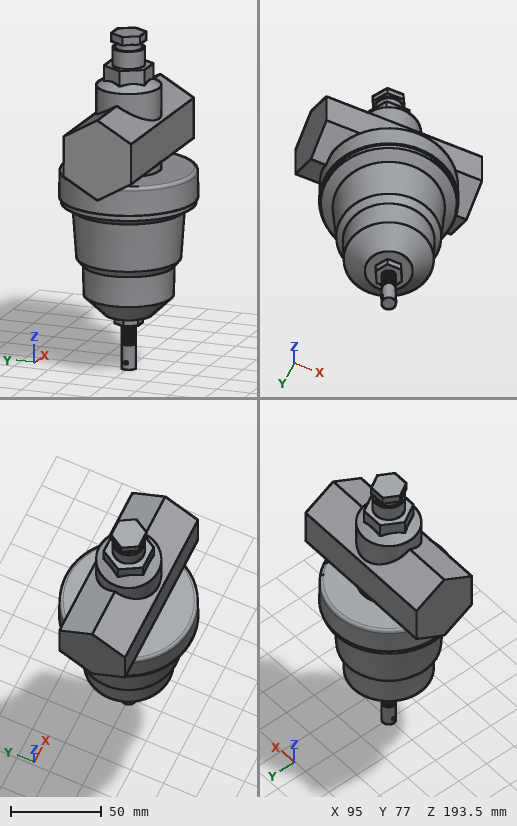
import cadquery as cq
import math


bar_length = 95.0
bar_across_flats = 40.0

top_z = 60.5
overall_height = 193.5
bottom_z = top_z - overall_height

neck_radius = 18.0
shoulder_z = 30.3
shoulder_slope = 0.66
shoulder_top_radius = 11.0
shoulder_top_z = shoulder_z + (neck_radius - shoulder_top_radius) * shoulder_slope

base_hex_across_flats = 24.0
base_hex_top_z = 42.0
collar_radius = 9.0
collar_top_z = 51.9
stem_radius = 7.5
cap_hex_across_flats = 17.0
cap_hex_height = 4.8
cap_hex_bottom_z = top_z - cap_hex_height

flange_top_z = -17.5
flange_bottom_z = -33.8
flange_radius = 38.5
flange_shoulder_radius = 38.2
flange_rounding = 2.0
rim_radius = 37.5
rim_bottom_z = -36.9
upper_tier_top = (31.0, -40.9)
upper_tier_bottom = (29.0, -68.8)
lower_tier_top = (25.4, -73.0)
lower_tier_bottom = (24.9, -90.4)
housing_end_radius = 13.2
housing_bottom_z = -101.6

locknut_across_flats = 14.0
locknut_height = 5.2
locknut_bottom_z = housing_bottom_z - locknut_height
spindle_radius = 4.0
thread_pitch = 1.0
thread_depth = 0.3
thread_turns = 12
pin_diameter = 2.0
pin_length = 8.8
pin_height = 4.1
pin_z = bottom_z + pin_height


def corner_diameter(across_flats):
    """Diameter of the circle through the corners of a hexagon."""
    return across_flats / math.cos(math.radians(30))


def hex_block(across_flats, low_z, high_z):
    """Upright hexagonal prism with two corners on the X axis."""
    plane = cq.Workplane("XY").workplane(offset=low_z)
    return plane.polygon(6, corner_diameter(across_flats)).extrude(high_z - low_z)


def round_block(radius, low_z, high_z):
    """Upright cylinder on the Z axis."""
    return cq.Workplane("XY").workplane(offset=low_z).circle(radius).extrude(high_z - low_z)


def crossbar():
    """Hexagonal bar along X with corners at its top and bottom."""
    hexagon = cq.Workplane("YZ").polygon(6, corner_diameter(bar_across_flats))
    bar = hexagon.extrude(bar_length / 2, both=True)
    return bar.rotate((0, 0, 0), (1, 0, 0), 90)


def neck():
    """Cylinder from the housing up through the bar, ending in a cone."""
    profile = cq.Workplane("XZ").polyline([
        (0, flange_top_z),
        (neck_radius, flange_top_z),
        (neck_radius, shoulder_z),
        (shoulder_top_radius, shoulder_top_z),
        (0, shoulder_top_z),
    ]).close()
    return profile.revolve(360, (0, 0, 0), (0, 1, 0))


def top_fitting():
    """Hexagonal base, round collar, slimmer stem and hexagonal cap."""
    base = hex_block(base_hex_across_flats, shoulder_z, base_hex_top_z)
    collar = round_block(collar_radius, base_hex_top_z, collar_top_z)
    stem = round_block(stem_radius, collar_top_z, cap_hex_bottom_z)
    cap = hex_block(cap_hex_across_flats, cap_hex_bottom_z, top_z)
    return base.union(collar).union(stem).union(cap)


def bell_housing():
    """Rounded flange narrowing through two slightly tapered tiers."""
    rounding_end = (flange_shoulder_radius, flange_top_z - flange_rounding)
    rounding_inset = flange_rounding * (1 - math.cos(math.radians(45)))
    rounding_middle = (flange_shoulder_radius - rounding_inset, flange_top_z - rounding_inset)
    profile = (
        cq.Workplane("XZ")
        .moveTo(0, flange_top_z)
        .lineTo(flange_shoulder_radius - flange_rounding, flange_top_z)
        .threePointArc(rounding_middle, rounding_end)
        .lineTo(flange_radius, flange_bottom_z)
        .lineTo(rim_radius, flange_bottom_z)
        .lineTo(rim_radius, rim_bottom_z)
        .lineTo(*upper_tier_top)
        .lineTo(*upper_tier_bottom)
        .lineTo(*lower_tier_top)
        .lineTo(*lower_tier_bottom)
        .lineTo(housing_end_radius, housing_bottom_z)
        .lineTo(0, housing_bottom_z)
        .close()
    )
    return profile.revolve(360, (0, 0, 0), (0, 1, 0))


def spindle():
    """Round rod with ring-shaped V grooves standing in for its thread."""
    outline = cq.Workplane("XZ").moveTo(0, housing_bottom_z).lineTo(spindle_radius, housing_bottom_z)
    for turn in range(thread_turns):
        crest_z = locknut_bottom_z - turn * thread_pitch
        outline = outline.lineTo(spindle_radius, crest_z)
        outline = outline.lineTo(spindle_radius - thread_depth, crest_z - thread_pitch / 2)
    outline = outline.lineTo(spindle_radius, locknut_bottom_z - thread_turns * thread_pitch)
    outline = outline.lineTo(spindle_radius, bottom_z).lineTo(0, bottom_z).close()
    return outline.revolve(360, (0, 0, 0), (0, 1, 0))


def cross_pin():
    """Thin pin along X standing slightly proud of the spindle on both sides."""
    plane = cq.Workplane("YZ").center(0, pin_z)
    return plane.circle(pin_diameter / 2).extrude(pin_length / 2, both=True)


locknut = hex_block(locknut_across_flats, locknut_bottom_z, housing_bottom_z)

result = (
    crossbar()
    .union(neck())
    .union(top_fitting())
    .union(bell_housing())
    .union(locknut)
    .union(spindle())
    .union(cross_pin())
)